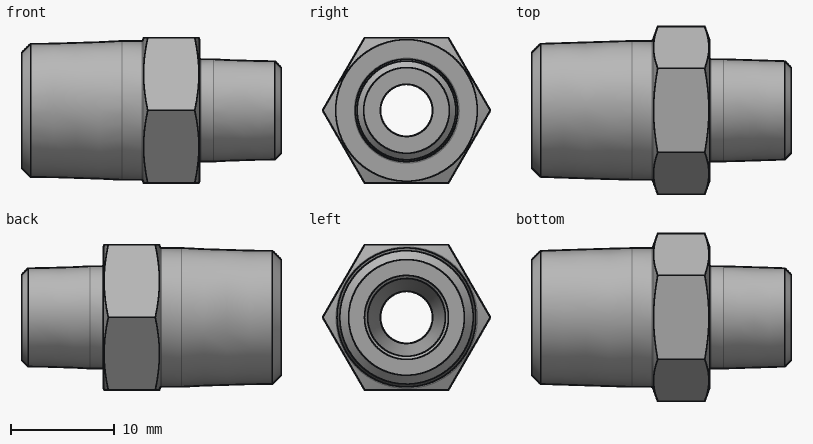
import cadquery as cq
import math

hex_across_flats = 14.0
hex_start = 11.68
hex_end = 17.12
bevel_angle = 20.0
bevel_radius = 6.82
root_fillet = 0.12

taper_slope = 1 / 32

large_radius = 13.4 / 2
large_taper_end = 9.65
large_tip_chamfer = 0.85

total_length = 25.0
small_radius = 9.88 / 2
small_taper_start = 18.45
small_tip_chamfer = 0.62

through_radius = 5.0 / 2
wide_bore_radius = 7.5 / 2
mouth_chamfer = 0.3


def revolve_about_x(profile):
    """Revolve a closed outline of (x, radius) points about the X axis."""
    return cq.Workplane("XY").polyline(profile).close().revolve(360, (0, 0, 0), (1, 0, 0))


def large_end():
    tip_radius = large_radius - taper_slope * (large_taper_end - large_tip_chamfer)
    return (
        cq.Workplane("XY")
        .lineTo(0, tip_radius - large_tip_chamfer)
        .lineTo(large_tip_chamfer, tip_radius)
        .lineTo(large_taper_end, large_radius)
        .lineTo(hex_start - root_fillet, large_radius)
        .radiusArc((hex_start, large_radius + root_fillet), -root_fillet)
        .lineTo(hex_start, 0)
        .close()
        .revolve(360, (0, 0, 0), (1, 0, 0))
    )


def small_end():
    chamfer_start = total_length - small_tip_chamfer
    tip_radius = small_radius - taper_slope * (chamfer_start - small_taper_start)
    return (
        cq.Workplane("XY")
        .moveTo(hex_end, 0)
        .lineTo(hex_end, small_radius + root_fillet)
        .radiusArc((hex_end + root_fillet, small_radius), -root_fillet)
        .lineTo(small_taper_start, small_radius)
        .lineTo(chamfer_start, tip_radius)
        .lineTo(total_length, tip_radius - small_tip_chamfer)
        .lineTo(total_length, 0)
        .close()
        .revolve(360, (0, 0, 0), (1, 0, 0))
    )


def bevelled_hexagon():
    """Hexagon with flats facing +Z and -Z, its corners cut by a cone at each end."""
    side_half_angle = math.pi / 6
    across_corners = hex_across_flats / math.cos(side_half_angle)
    corner_radius = across_corners / 2
    slope = math.tan(math.radians(bevel_angle))
    prism = (
        cq.Workplane("YZ")
        .workplane(offset=hex_start)
        .polygon(6, across_corners)
        .extrude(hex_end - hex_start)
    )
    envelope = revolve_about_x([
        (hex_start, 0),
        (hex_start, bevel_radius),
        (hex_start + slope * (corner_radius - bevel_radius), corner_radius),
        (hex_end - slope * (corner_radius - bevel_radius), corner_radius),
        (hex_end, bevel_radius),
        (hex_end, 0),
    ])
    return prism.intersect(envelope)


def stepped_bore():
    """Wide bore with a chamfered mouth, narrowing inside the hexagon to the through hole."""
    return revolve_about_x([
        (0, 0),
        (0, wide_bore_radius + mouth_chamfer),
        (mouth_chamfer, wide_bore_radius),
        (hex_start, wide_bore_radius),
        (hex_end, through_radius),
        (total_length, through_radius),
        (total_length, 0),
    ])


result = large_end().union(bevelled_hexagon()).union(small_end()).cut(stepped_bore())